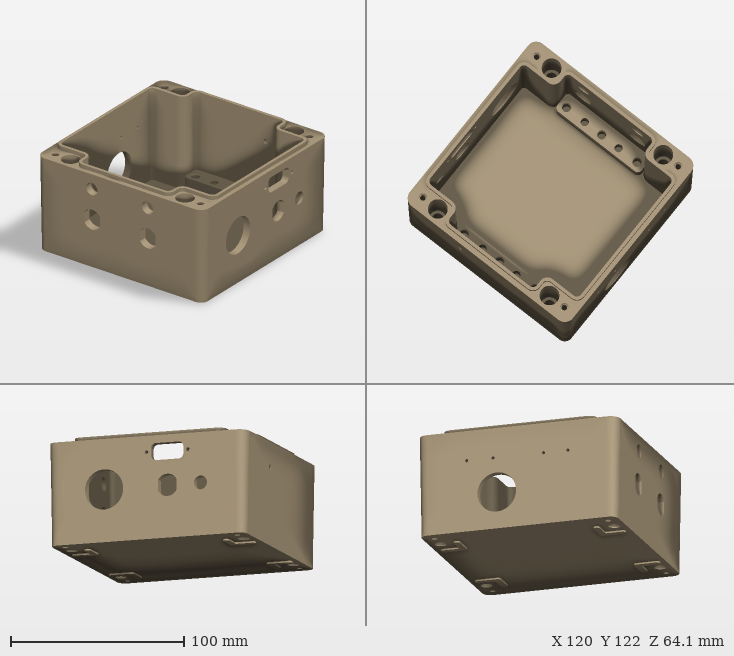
import cadquery as cq
import math

length_x = 120.0
length_y = 122.0
body_height = 60.6
body_corner_radius = 6.0
draft_angle = 1.0

lip_height = 2.5
lip_width = 2.0
lip_half_x = 57.3
lip_half_y = 58.0
step_x = 33.9
step_y = 46.6
lip_outer_radius = 5.0
lip_step_radius = 3.0

floor_thickness = 4.0
cavity_depth = body_height + lip_height - floor_thickness

mounting_x = 41.1
mounting_y = 53.0
mounting_hole_diameter = 7.0
counterbore_diameter = 11.5
counterbore_depth = 30.0
cover_screw_x = 52.1
cover_screw_y = 53.0
cover_screw_diameter = 3.3
cover_screw_counterbore = 4.0
cover_screw_counterbore_depth = 1.2
cover_screw_countersink = 4.9

boss_height = 9.0
boss_half_x = 31.1
boss_inner_y = 42.8
boss_outer_y = 56.1
boss_corner_radius = 3.0
boss_hole_y = 47.6
boss_hole_depth = 8.0
boss_screw_spacing = 26.0
boss_screw_diameter = 4.9
boss_screw_countersink = 6.0
boss_pin_x = 12.5
boss_pin_diameter = 4.8

foot_height = 1.0
foot_arm_width = 4.0
foot_inner_x = 28.5
foot_outer_x = 44.4
foot_inner_y = 40.6
foot_outer_y = 56.5
foot_elbow_radius = 1.0

wall_cut_depth = 9.8
upper_row_z = 51.0
lower_row_z = 31.0
double_d_diameter = 13.0
double_d_width = 11.2
cable_hole_diameter = 23.5

front_opening_x = 20.0
front_hole_diameter = 8.0

left_cable_y = 12.6
left_cable_z = 22.0
left_screw_z = 42.7
left_screw_ys = (-30.9, -16.0, 14.9, 30.9)
left_screw_diameter = 2.0

connector_y = 12.6
connector_width = 20.0
connector_height = 10.0
connector_corner_radius = 3.0
connector_screw_offset = 12.7
connector_screw_diameter = 2.2
right_hole_y = 33.0
right_hole_diameter = 8.0
right_cable_y = -26.4

back_hole_x = 18.5
back_hole_z = 45.8
back_hole_diameter = 3.3

SIDES = (-1, 1)


def four_corners(x, y):
    return [(side_x * x, side_y * y) for side_x in SIDES for side_y in SIDES]


def rounded_outline(plane, corners):
    """Closed outline through right-angled corners given as (x, y, radius)."""
    arcs = []
    for index, (x, y, radius) in enumerate(corners):
        directions = []
        for other_x, other_y, _ in (corners[index - 1], corners[(index + 1) % len(corners)]):
            distance = math.hypot(other_x - x, other_y - y)
            directions.append(((other_x - x) / distance, (other_y - y) / distance))
        (in_x, in_y), (out_x, out_y) = directions
        bulge = radius * (1 - math.sqrt(0.5))
        start = (x + radius * in_x, y + radius * in_y)
        middle = (x + bulge * (in_x + out_x), y + bulge * (in_y + out_y))
        end = (x + radius * out_x, y + radius * out_y)
        arcs.append((start, middle, end))
    last_end = arcs[-1][-1]
    outline = plane.moveTo(*last_end)
    for start, middle, end in arcs:
        outline = outline.lineTo(*start).threePointArc(middle, end)
    return outline.close()


def stepped_outline(plane, inset):
    """Lip outline, moved inwards by the inset."""
    far_x = lip_half_x - inset
    far_y = lip_half_y - inset
    near_x = step_x - inset
    near_y = step_y - inset
    convex = lip_outer_radius - inset
    concave = lip_step_radius + inset
    corners = []
    for side_x, side_y in ((1, 1), (-1, 1), (-1, -1), (1, -1)):
        corner = [
            (side_x * far_x, side_y * near_y, convex),
            (side_x * near_x, side_y * near_y, concave),
            (side_x * near_x, side_y * far_y, convex),
        ]
        corners += corner if side_x == side_y else corner[::-1]
    return rounded_outline(plane, corners)


def make_shell():
    rim_plane = cq.Workplane("XY", origin=(0, 0, body_height))
    body = (
        rim_plane.sketch()
        .rect(length_x, length_y)
        .vertices()
        .fillet(body_corner_radius)
        .finalize()
        .extrude(-body_height, taper=draft_angle)
    )
    lip = stepped_outline(rim_plane, 0).extrude(lip_height)
    mouth_plane = cq.Workplane("XY", origin=(0, 0, body_height + lip_height))
    cavity = stepped_outline(mouth_plane, lip_width).extrude(-cavity_depth, taper=draft_angle)
    return body.union(lip).cut(cavity)


def make_boss(side):
    boss_width = boss_outer_y - boss_inner_y
    inner_edges = "|Z and >Y" if side < 0 else "|Z and <Y"
    return (
        cq.Workplane("XY", origin=(0, side * (boss_inner_y + boss_width / 2), floor_thickness))
        .box(2 * boss_half_x, boss_width, boss_height, centered=(True, True, False))
        .edges(inner_edges)
        .fillet(boss_corner_radius)
    )


def drill_bosses(shell):
    boss_top = cq.Workplane("XY", origin=(0, 0, floor_thickness + boss_height))
    screw_xs = (-boss_screw_spacing, 0, boss_screw_spacing)
    screw_points = [(x, side * boss_hole_y) for x in screw_xs for side in SIDES]
    screws = countersunk_cutter(
        boss_top, screw_points, boss_screw_diameter, boss_screw_countersink, boss_hole_depth
    )
    pins = (
        boss_top.pushPoints(four_corners(boss_pin_x, boss_hole_y))
        .circle(boss_pin_diameter / 2)
        .extrude(-boss_hole_depth)
    )
    return shell.cut(screws).cut(pins)


def countersunk_cutter(plane, points, diameter, countersink, depth):
    """Holes running against the plane normal, each with a 45 degree countersink."""
    shafts = plane.pushPoints(points).circle(diameter / 2).extrude(-depth)
    cone_depth = (countersink - diameter) / 2
    cones = plane.pushPoints(points).circle(countersink / 2).extrude(-cone_depth, taper=45)
    return shafts.union(cones)


def drill_pillars(shell):
    rim_plane = cq.Workplane("XY", origin=(0, 0, body_height))
    mounting_points = four_corners(mounting_x, mounting_y)
    mounting_holes = (
        rim_plane.pushPoints(mounting_points)
        .circle(mounting_hole_diameter / 2)
        .extrude(-body_height)
    )
    counterbores = (
        rim_plane.pushPoints(mounting_points)
        .circle(counterbore_diameter / 2)
        .extrude(-counterbore_depth, taper=draft_angle)
    )
    cover_screw_points = four_corners(cover_screw_x, cover_screw_y)
    cover_screws = (
        rim_plane.pushPoints(cover_screw_points)
        .circle(cover_screw_diameter / 2)
        .extrude(-body_height)
    )
    screw_counterbores = countersunk_cutter(
        rim_plane,
        cover_screw_points,
        cover_screw_counterbore,
        cover_screw_countersink,
        cover_screw_counterbore_depth,
    )
    return shell.cut(mounting_holes).cut(counterbores).cut(cover_screws).cut(screw_counterbores)


def make_foot(side_x, side_y):
    span_x = foot_outer_x - foot_inner_x
    span_y = foot_outer_y - foot_inner_y
    end_radius = foot_arm_width / 2
    arm_x = (foot_inner_x + end_radius) * side_x
    arm_y = (foot_inner_y + end_radius) * side_y
    middle_x = (foot_inner_x + span_x / 2) * side_x
    middle_y = (foot_inner_y + span_y / 2) * side_y
    base = cq.Workplane("XY")
    along_x = base.center(middle_x, arm_y).slot2D(span_x, foot_arm_width).extrude(-foot_height)
    along_y = base.center(arm_x, middle_y).slot2D(span_y, foot_arm_width, 90).extrude(-foot_height)
    elbow = cq.selectors.NearestToPointSelector(
        (arm_x + side_x * end_radius, arm_y + side_y * end_radius, -foot_height / 2)
    )
    return along_x.union(along_y).edges("|Z").edges(elbow).fillet(foot_elbow_radius)


def double_d(plane, points):
    """Round openings with two flat upright sides."""
    rounds = plane.pushPoints(points).circle(double_d_diameter / 2).extrude(-wall_cut_depth)
    flats = plane.pushPoints(points).rect(double_d_width, double_d_diameter).extrude(-wall_cut_depth)
    return rounds.intersect(flats)


def round_holes(plane, points, diameter):
    return plane.pushPoints(points).circle(diameter / 2).extrude(-wall_cut_depth)


def cut_front_wall(shell):
    wall = cq.Workplane("XZ", origin=(0, -length_y / 2, 0))
    holes = round_holes(wall, [(side * front_opening_x, upper_row_z) for side in SIDES], front_hole_diameter)
    openings = double_d(wall, [(side * front_opening_x, lower_row_z) for side in SIDES])
    return shell.cut(holes).cut(openings)


def cut_back_wall(shell):
    wall = cq.Workplane("XZ", origin=(0, length_y / 2, 0)).transformed(rotate=(0, 180, 0))
    return shell.cut(round_holes(wall, [(-back_hole_x, back_hole_z)], back_hole_diameter))


def cut_left_wall(shell):
    wall = cq.Workplane("YZ", origin=(-length_x / 2, 0, 0)).transformed(rotate=(0, 180, 0))
    cable_hole = round_holes(wall, [(-left_cable_y, left_cable_z)], cable_hole_diameter)
    screws = round_holes(wall, [(-y, left_screw_z) for y in left_screw_ys], left_screw_diameter)
    return shell.cut(cable_hole).cut(screws)


def cut_right_wall(shell):
    wall = cq.Workplane("YZ", origin=(length_x / 2, 0, 0))
    connector = (
        wall.center(connector_y, upper_row_z)
        .rect(connector_width, connector_height)
        .extrude(-wall_cut_depth)
        .edges("|X")
        .fillet(connector_corner_radius)
    )
    screw_points = [(connector_y + side * connector_screw_offset, upper_row_z) for side in SIDES]
    return (
        shell.cut(connector)
        .cut(round_holes(wall, screw_points, connector_screw_diameter))
        .cut(double_d(wall, [(connector_y, lower_row_z)]))
        .cut(round_holes(wall, [(right_hole_y, lower_row_z)], right_hole_diameter))
        .cut(round_holes(wall, [(right_cable_y, lower_row_z)], cable_hole_diameter))
    )


box = make_shell()
for side in SIDES:
    box = box.union(make_boss(side))
box = drill_bosses(box)
box = drill_pillars(box)
for side_x, side_y in four_corners(1, 1):
    box = box.union(make_foot(side_x, side_y))
box = cut_front_wall(box)
box = cut_back_wall(box)
box = cut_left_wall(box)
box = cut_right_wall(box)
result = box